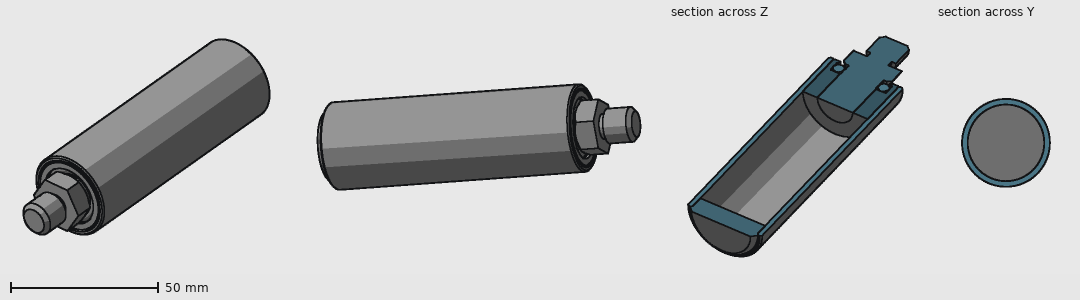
import cadquery as cq
import math


grip_radius = 15.0
grip_length = 90.0
overall_length = 111
bore_radius = 13.0
outer_chamfer = 0.5
inner_chamfer = 0.5

cap_height = 2.0
cap_top_radius = 11.9
cap_base_radius = cap_top_radius + cap_height
plug_length = 5.5

ring_outer_radius = 11.1
ring_section_radius = 2.0
ring_face_depth = 1.3
ring_center_radius = ring_outer_radius - ring_section_radius
ring_inner_radius = ring_center_radius - ring_section_radius

shaft_radius = ring_inner_radius
hex_sides = 6
hex_across_flats = 17.0
hex_front = -7.1
hex_back = 0.3
hex_end_radius = 8.3
hex_chamfer_length = 1.1
neck_radius = 4.3
neck_length = 2.0
thread_radius = 6.0
thread_chamfer = 1.5
tip = cap_height + grip_length - overall_length

bush_length = 20.0
bush_chamfer = 0.2
mouth_radius = 10.5
groove_start = ring_face_depth
groove_end = ring_face_depth + 2 * ring_section_radius


def revolve_about_y(profile):
    """Turn a closed profile of (radius, y) points about the Y axis."""
    return profile.close().revolve(360, (0, 0, 0), (0, 1, 0))


def disc(radius, start, end):
    """Make a cylinder on the Y axis between two y positions."""
    return cq.Workplane("XZ", origin=(0, end, 0)).circle(radius).extrude(end - start)


def make_grip():
    profile = cq.Workplane("XY").polyline([
        (bore_radius, inner_chamfer),
        (bore_radius + inner_chamfer, 0),
        (grip_radius - outer_chamfer, 0),
        (grip_radius, outer_chamfer),
        (grip_radius, grip_length - outer_chamfer),
        (grip_radius - outer_chamfer, grip_length),
        (bore_radius + inner_chamfer, grip_length),
        (bore_radius, grip_length - inner_chamfer),
    ])
    return revolve_about_y(profile)


def make_end_cap():
    cap_top = grip_length + cap_height
    profile = cq.Workplane("XY").polyline([
        (0, grip_length - plug_length),
        (bore_radius, grip_length - plug_length),
        (bore_radius, grip_length - inner_chamfer),
        (bore_radius + inner_chamfer, grip_length),
        (cap_base_radius, grip_length),
        (cap_top_radius, cap_top),
        (0, cap_top),
    ])
    return revolve_about_y(profile)


def make_bush():
    blank = disc(bore_radius, 0, bush_length).faces("<Y").chamfer(bush_chamfer)
    mouth = disc(mouth_radius, 0, groove_start)
    ring_groove = disc(ring_outer_radius, groove_start, groove_end)
    shaft_hole = disc(shaft_radius, 0, bush_length)
    return blank.cut(mouth).cut(ring_groove).cut(shaft_hole)


def make_sealing_ring():
    section = cq.Workplane("XY").center(ring_center_radius, ring_face_depth + ring_section_radius)
    axis_start = (-ring_center_radius, 0, 0)
    axis_end = (-ring_center_radius, 1, 0)
    return section.circle(ring_section_radius).revolve(360, axis_start, axis_end)


def make_hexagon():
    """Hexagon whose corners are cut back by a cone at its rear end."""
    across_corners = hex_across_flats / math.cos(math.pi / hex_sides)
    corner_radius = across_corners / 2
    chamfer_start = hex_back - hex_chamfer_length
    hex_length = hex_back - hex_front
    prism = cq.Workplane("XZ", origin=(0, hex_back, 0)).polygon(hex_sides, across_corners).extrude(hex_length)
    envelope = revolve_about_y(cq.Workplane("XY").polyline([
        (0, hex_front),
        (corner_radius, hex_front),
        (corner_radius, chamfer_start),
        (hex_end_radius, hex_back),
        (0, hex_back),
    ]))
    return prism.intersect(envelope)


def make_spindle():
    thread_start = hex_front - neck_length
    shaft = disc(shaft_radius, hex_back, bush_length)
    neck = disc(neck_radius, thread_start, hex_front)
    thread = disc(thread_radius, tip, thread_start).faces("<Y").chamfer(thread_chamfer)
    return shaft.union(make_hexagon()).union(neck).union(thread)


grip = make_grip()
end_cap = make_end_cap()
bush = make_bush()
sealing_ring = make_sealing_ring()
spindle = make_spindle()

result = cq.Compound.makeCompound([
    grip.val(),
    end_cap.val(),
    bush.val(),
    sealing_ring.val(),
    spindle.val(),
])